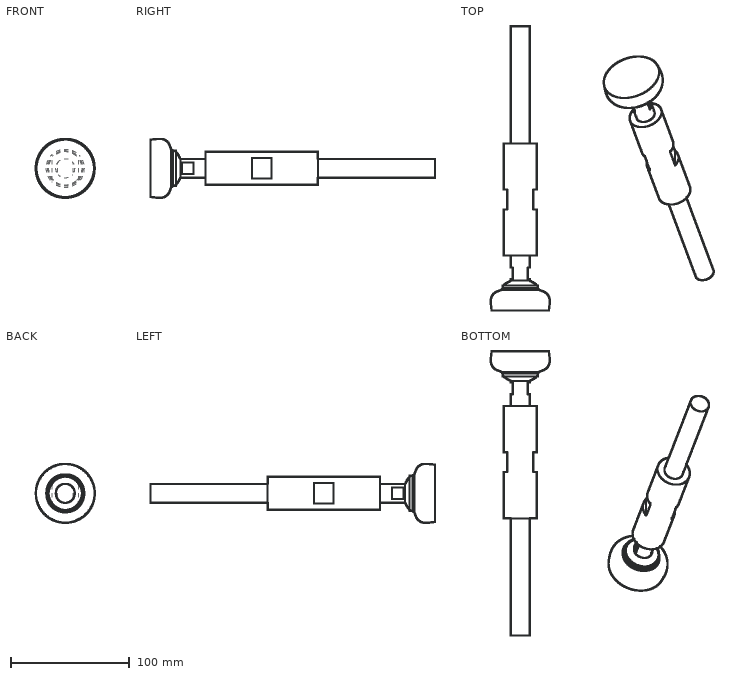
import cadquery as cq

total_length = 240.0
pad_diameter = 50.0
rod_diameter = 16.0
sleeve_diameter = 28.0

band_start = 6.0
band_end = 9.0
shoulder_end = 16.0
pad_crown_level = 17.5
collar_start = 19.0
joint_level = 21.4
dome_end = 25.2
stem_flat_start = 26.6
stem_flat_length = 9.5
sleeve_start = 46.3
sleeve_length = 94.8
sleeve_flat_length = 16.5

stem_across_flats = 13.0
sleeve_across_flats = 22.0

rod_radius = rod_diameter / 2

pad_radius = pad_diameter / 2
ground_radius = 24.2
shoulder_radius = 20.0
crown_radius = 16.0
collar_radius = 15.0
dome_radius = 14.2

shoulder_mid_radius = 23.0
shoulder_mid_level = 13.7

dome_mid_radius = 11.8
dome_mid_level = 23.3

ground_y = -total_length / 2


def revolve_about_y(profile):
    """Revolve a closed (radius, Y) profile about the Y axis."""
    return profile.revolve(360, (0, 0, 0), (0, 1, 0))


def cut_flats(body, across_flats, start, length):
    """Cut two opposite flats, facing -X and +X, into a round body."""
    middle_y = ground_y + start + length / 2
    for side in (-1, 1):
        cutter = cq.Workplane("XY").box(sleeve_diameter, length, 2 * sleeve_diameter)
        offset = side * (across_flats + sleeve_diameter) / 2
        body = body.cut(cutter.translate((offset, middle_y, 0)))
    return body


def make_pad():
    """Round pad with a tapered rim, a convex shoulder and a conical crown below a short collar."""
    profile = (
        cq.Workplane("XY", origin=(0, ground_y, 0))
        .moveTo(0, 0)
        .lineTo(ground_radius, 0)
        .lineTo(pad_radius, band_start)
        .lineTo(pad_radius, band_end)
        .threePointArc((shoulder_mid_radius, shoulder_mid_level), (shoulder_radius, shoulder_end))
        .lineTo(crown_radius, pad_crown_level)
        .lineTo(collar_radius, collar_start)
        .lineTo(collar_radius, joint_level)
        .lineTo(0, joint_level)
        .close()
    )
    return revolve_about_y(profile)


def make_spindle():
    """Dome, stem, sleeve and rod turned as one piece, with wrench flats."""
    sleeve_radius = sleeve_diameter / 2
    sleeve_end = sleeve_start + sleeve_length
    profile = (
        cq.Workplane("XY", origin=(0, ground_y, 0))
        .moveTo(0, joint_level)
        .lineTo(dome_radius, joint_level)
        .threePointArc((dome_mid_radius, dome_mid_level), (rod_radius, dome_end))
        .lineTo(rod_radius, sleeve_start)
        .lineTo(sleeve_radius, sleeve_start)
        .lineTo(sleeve_radius, sleeve_end)
        .lineTo(rod_radius, sleeve_end)
        .lineTo(rod_radius, total_length)
        .lineTo(0, total_length)
        .close()
    )
    spindle = revolve_about_y(profile)
    spindle = cut_flats(spindle, stem_across_flats, stem_flat_start, stem_flat_length)
    sleeve_flat_start = sleeve_start + (sleeve_length - sleeve_flat_length) / 2
    return cut_flats(spindle, sleeve_across_flats, sleeve_flat_start, sleeve_flat_length)


pad = make_pad()
spindle = make_spindle()
result = cq.Compound.makeCompound([pad.val(), spindle.val()])